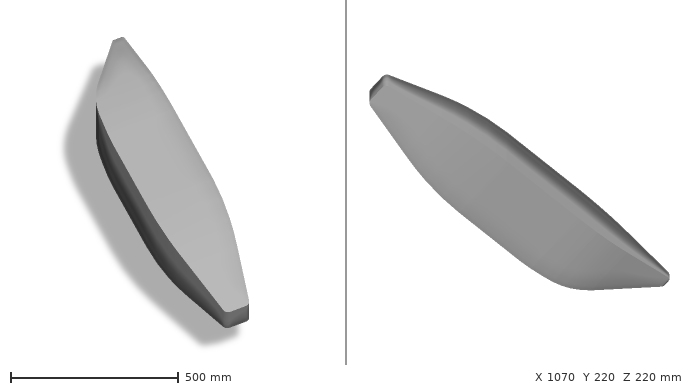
import cadquery as cq

length = 1070.0
size = 220.0
half = size / 2

tip_width = 32.0
tip_half_height = 16.0
tip_radius = 13.0

taper_end = 174.0
taper_half_height = 78.0
shoulder_x = 290.0
shoulder_half_height = 105.0
roof_start = 367.0
roof_end = 635.0
nose_cone_x = 899.0
nose_cone_half_height = 80.0
nose_half_height = 41.0

plan_taper_end = 167.0
taper_width = 158.0
bend_x = 287.0
bend_width = 210.0
facet_end = 322.0
facet_width = 214.0
wall_start = 413.0
wall_end = 651.0
plan_cone_x = 883.0
plan_cone_drop = 28.0
plan_nose_half_width = 40.0
nose_radius = 17.0


def half_side_outline():
    """Upper half of the side outline, extruded across the full width."""
    return (
        cq.Workplane("XZ")
        .lineTo(0, tip_half_height)
        .lineTo(taper_end, taper_half_height)
        .tangentArcPoint((shoulder_x, shoulder_half_height), relative=False)
        .tangentArcPoint((roof_start, half), relative=False)
        .lineTo(roof_end, half)
        .tangentArcPoint((nose_cone_x, nose_cone_half_height), relative=False)
        .lineTo(length, nose_half_height)
        .lineTo(length, 0)
        .close()
        .extrude(-size)
    )


def side_body():
    """Symmetric side outline with a rounded tip."""
    upper = half_side_outline()
    body = upper.union(upper.mirror("XY")).clean()
    return body.edges("|Y").edges("<X").fillet(tip_radius)


def plan_body():
    """Plan outline with one straight back face and rounded ends."""
    body = (
        cq.Workplane("XY", origin=(0, 0, -half))
        .moveTo(0, size)
        .lineTo(0, size - tip_width)
        .lineTo(plan_taper_end, size - taper_width)
        .tangentArcPoint((bend_x, size - bend_width), relative=False)
        .lineTo(facet_end, size - facet_width)
        .tangentArcPoint((wall_start, 0), relative=False)
        .lineTo(wall_end, 0)
        .tangentArcPoint((plan_cone_x, plan_cone_drop), relative=False)
        .lineTo(length, half - plan_nose_half_width)
        .lineTo(length, half + plan_nose_half_width)
        .lineTo(plan_cone_x, size - plan_cone_drop)
        .tangentArcPoint((wall_end, size), relative=False)
        .close()
        .extrude(size)
    )
    body = body.edges("|Z").edges("<X").fillet(tip_radius)
    return body.edges("|Z").edges(">X").fillet(nose_radius)


result = side_body().intersect(plan_body())